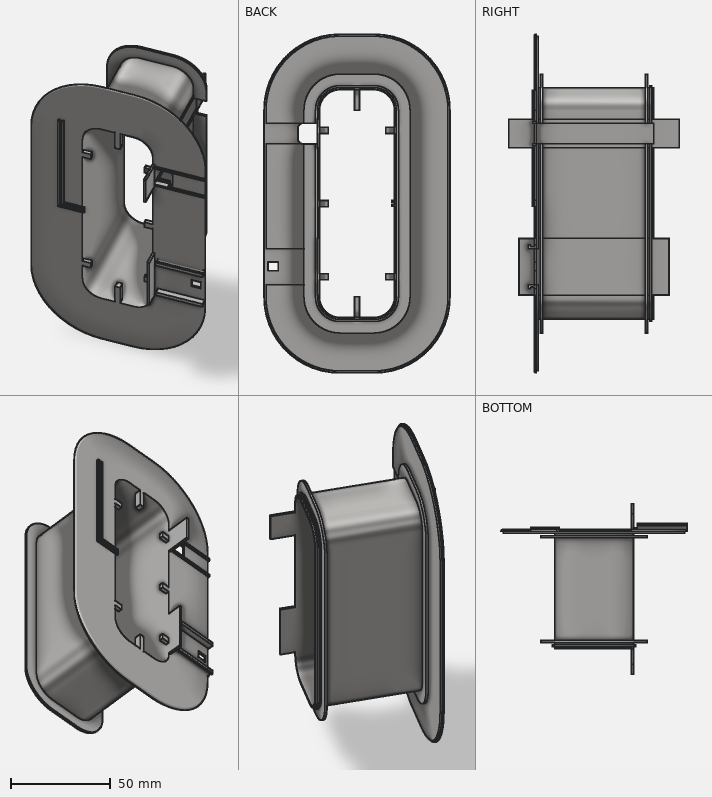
import cadquery as cq
WALL = 1.0
OVERALL_WIDTH = 93.0
OVERALL_HEIGHT = 169.5
PLATE_REACH = 27.8
BORE_WIDTH = OVERALL_WIDTH - 2 * PLATE_REACH
BORE_HEIGHT = OVERALL_HEIGHT - 2 * PLATE_REACH
BORE_RADIUS = 10.2
TUBE_LENGTH = 59.7

RIDGE_REACH = 2 * WALL
COLLAR_REACH = 7.8
BACKING_REACH = PLATE_REACH - WALL

FRONT = -TUBE_LENGTH / 2
BORE_X = BORE_WIDTH / 2
TUBE_X = BORE_X + WALL
PLATE_X = BORE_X + PLATE_REACH
PLATE_THICKNESS = 2 * WALL
PLATE_ROUNDING = 0.99 * WALL

COLLAR_OUTER_Y = 26.8
COLLAR_THICKNESS = 1.2
RIDGE_Y = 27.8
RIDGE_THICKNESS = WALL

TAB_THICKNESS = 1.2
TAB_X = BORE_X + TAB_THICKNESS
TABS = [(27.8, 42.2, 42.7), (-45.8, -17.5, 37.6)]

WINDOW_BOTTOM = 29.8
WINDOW_TOP = 40.2
WINDOW_END_X = 29.5
WINDOW_RADIUS = 2.5
RIB_HEIGHT = 0.8
RIB_ROOT_Y = FRONT + WALL

RAIL_START_X = 21.5
RAIL_WIDTH = 2 * WALL
RAIL_HEIGHT = 3 * WALL
RAIL_OUTER_TOP = -20.7
RAIL_OUTER_BOTTOM = -42.7
GROOVE_Y = FRONT - WALL

LATCH_X = (39.5, 44.4)
LATCH_Z = (-33.5, -29.3)

GUIDE_LEFT = -31.5
GUIDE_BOTTOM = -1.4
GUIDE_TOP = 56.6
GUIDE_END_X = -17.5

STUD_LENGTH = 4.4
STUD_HEIGHT = 3.2
STUD_DEPTH = PLATE_THICKNESS
STUD_Z = 36.6
FIN_WIDTH = 2.7
FIN_LENGTH = 10.3
FIN_DEPTH = 3.4


def block(x_range, y_range, z_range):
    """Box between pairs of coordinates."""
    size = [high - low for low, high in (x_range, y_range, z_range)]
    return cq.Workplane("XY").box(*size, centered=False).translate(
        (x_range[0], y_range[0], z_range[0])
    )


def racetrack(reach, y_start, thickness):
    """Rounded-rectangle slab: the bore outline grown by `reach`."""
    return (
        cq.Workplane("XZ", origin=(0, y_start, 0))
        .rect(BORE_WIDTH + 2 * reach, BORE_HEIGHT + 2 * reach)
        .extrude(-thickness)
        .edges("|Y")
        .fillet(BORE_RADIUS + reach)
    )


body = racetrack(WALL, FRONT, TUBE_LENGTH)
plate = racetrack(PLATE_REACH, FRONT, WALL).faces("<Y").edges().fillet(PLATE_ROUNDING)
body = body.union(plate).union(racetrack(BACKING_REACH, FRONT + WALL, WALL))
body = body.union(racetrack(RIDGE_REACH, RIDGE_Y, RIDGE_THICKNESS))
for collar_y in (-COLLAR_OUTER_Y, COLLAR_OUTER_Y - COLLAR_THICKNESS):
    body = body.union(racetrack(COLLAR_REACH, collar_y, COLLAR_THICKNESS))
body = body.cut(racetrack(0, FRONT, TUBE_LENGTH))

for tab_bottom, tab_top, reach_y in TABS:
    body = body.union(block((BORE_X, TAB_X), (-reach_y, reach_y), (tab_bottom, tab_top)))

window = block((TUBE_X, WINDOW_END_X), (FRONT, -FRONT), (WINDOW_BOTTOM, WINDOW_TOP))
body = body.cut(window.edges("|Y and >X").fillet(WINDOW_RADIUS))
for rib_bottom in (WINDOW_BOTTOM - WALL, WINDOW_TOP):
    body = body.union(
        block((TUBE_X, PLATE_X), (FRONT - RIB_HEIGHT, RIB_ROOT_Y), (rib_bottom, rib_bottom + WALL))
    )

for rail_bottom, groove_z in (
    (RAIL_OUTER_TOP - RAIL_WIDTH, RAIL_OUTER_TOP),
    (RAIL_OUTER_BOTTOM, RAIL_OUTER_BOTTOM),
):
    rail = block(
        (RAIL_START_X, PLATE_X),
        (FRONT - RAIL_HEIGHT, RIB_ROOT_Y),
        (rail_bottom, rail_bottom + RAIL_WIDTH),
    )
    groove = (
        cq.Workplane("YZ", origin=(RAIL_START_X, GROOVE_Y, groove_z))
        .circle(WALL)
        .extrude(PLATE_X - RAIL_START_X)
    )
    body = body.union(rail.cut(groove))

for clear_bottom, clear_top in (
    (WINDOW_BOTTOM, WINDOW_TOP),
    (RAIL_OUTER_BOTTOM + RAIL_WIDTH, RAIL_OUTER_TOP - RAIL_WIDTH),
):
    body = body.cut(
        block(
            (TAB_X, PLATE_X),
            (FRONT + WALL, FRONT + PLATE_THICKNESS),
            (clear_bottom, clear_top),
        )
    )

body = body.cut(block(LATCH_X, (FRONT, FRONT + PLATE_THICKNESS), LATCH_Z))


def guide_rib(inset):
    """One L-shaped rib, set in from the guide's outer corner."""
    left = GUIDE_LEFT + inset
    bottom = GUIDE_BOTTOM + inset
    y_range = (FRONT - WALL, FRONT)
    upright = block((left, left + WALL), y_range, (bottom, GUIDE_TOP))
    foot = block((left, GUIDE_END_X), y_range, (bottom, bottom + WALL))
    return upright.union(foot)


for inset in (0, 2 * WALL):
    body = body.union(guide_rib(inset))

for side, levels in ((-1, (-STUD_Z, STUD_Z)), (1, (-STUD_Z, 0, STUD_Z))):
    for level in levels:
        x_range = sorted((side * TUBE_X, side * (BORE_X - STUD_LENGTH)))
        z_range = (level - STUD_HEIGHT / 2, level + STUD_HEIGHT / 2)
        body = body.union(block(x_range, (FRONT, FRONT + STUD_DEPTH), z_range))

for side in (-1, 1):
    z_range = sorted((side * BORE_HEIGHT / 2, side * (BORE_HEIGHT / 2 - FIN_LENGTH)))
    body = body.union(
        block((-FIN_WIDTH / 2, FIN_WIDTH / 2), (FRONT, FRONT + FIN_DEPTH), z_range)
    )

result = body